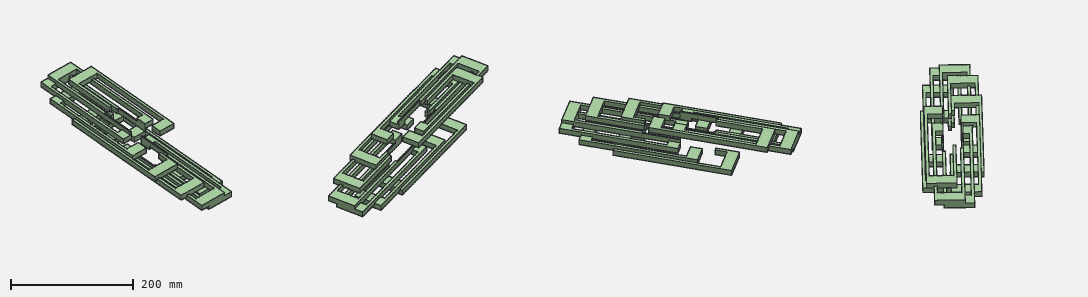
import cadquery as cq
import math

overall_length = 390.2
overall_width = 100.0
overall_height = 66.7

frame_count = 10
start_angle = 90.0
angle_step = 360.0 / frame_count

frame_width = overall_width / 2
largest_cosine = math.cos(math.radians(angle_step / 2))
frame_length = overall_length / (1 + largest_cosine)
frame_thickness = 10.0
rail_width = 5.0
end_bar_length = 20.0

helix_radius_x = frame_length / 2
helix_radius_y = frame_width / 2
rise_per_frame = (overall_height - frame_thickness) / (frame_count - 1)

well_length = 120.0
well_width = 30.0


def make_frame():
    """One flat frame, centred on the origin in X and Y and standing on Z = 0."""
    window_length = frame_length - 2 * end_bar_length
    window_width = frame_width - 2 * rail_width
    return (
        cq.Workplane("XY")
        .rect(frame_length, frame_width)
        .rect(window_length, window_width)
        .extrude(frame_thickness)
    )


def frame_position(index):
    """Place of a frame on the helix, counted from the bottom."""
    angle = math.radians(start_angle - index * angle_step)
    return (
        helix_radius_x * math.cos(angle),
        helix_radius_y * math.sin(angle),
        index * rise_per_frame,
    )


frame = make_frame()
stack = frame.translate(frame_position(0))
for index in range(1, frame_count):
    stack = stack.union(frame.translate(frame_position(index)))

well = cq.Workplane("XY").rect(well_length, well_width).extrude(overall_height)
result = stack.cut(well)